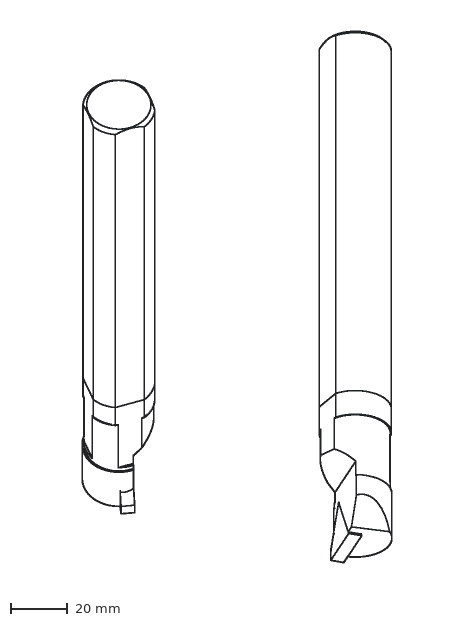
import cadquery as cq
import math

LENGTH = 203.2
SHANK_RADIUS = 12.8
SHANK_BOTTOM = 54.3
FLAT_DISTANCE = 11.5
FLAT_BOTTOM = 21.3
TOP_CHAMFER = 1.5

NECK_TOP = 44.5
NECK_RADIUS = 12.4
HEAD_TOP = 19.5
HEAD_RADIUS = 13.0
HEAD_BOTTOM = 1.0

RAKE_ANGLE = 13.0
TIP_X = 16.0
TIP_Y = 0.2
RAMP_BOTTOM = 25.5

RELIEF_X = -7.1
RELIEF_Z_SLOPE = -0.57
RELIEF_Y_SLOPE = 0.33

INSERT_EDGE = 22.0
INSERT_NOSE = 4.0
INSERT_THICKNESS = 4.9

OVERSIZE = 61.0


def cylinder(radius, bottom, top):
    return cq.Workplane("XY", origin=(0, 0, bottom)).circle(radius).extrude(top - bottom)


def flatted_zone(bottom, top):
    """Block bounded by the +X, +Y and -Y flats and open past the bar on -X."""
    depth = FLAT_DISTANCE + OVERSIZE
    block = cq.Workplane("XY").box(depth, 2 * FLAT_DISTANCE, top - bottom, centered=(False, True, False))
    return block.translate((-OVERSIZE, 0, bottom))


def rake_plane():
    """Local x runs inward from the tip, local y is up, and the normal points out of the rake face."""
    angle = math.radians(RAKE_ANGLE)
    return cq.Plane(
        origin=(TIP_X, TIP_Y, 0),
        xDir=(-math.cos(angle), math.sin(angle), 0),
        normal=(math.sin(angle), math.cos(angle), 0),
    )


def make_shank():
    shank = cylinder(SHANK_RADIUS, SHANK_BOTTOM, LENGTH).faces(">Z").chamfer(TOP_CHAMFER)
    return shank.intersect(flatted_zone(SHANK_BOTTOM, LENGTH))


def make_insert():
    slope = math.sqrt(3)
    corner_loss = INSERT_NOSE / slope
    inner_end = INSERT_EDGE - corner_loss
    apex_x = INSERT_EDGE / 2 - corner_loss
    apex_height = INSERT_EDGE / 2 * slope
    return (
        cq.Workplane(rake_plane())
        .polyline([(0, 0), (inner_end, 0), (apex_x, apex_height), (0, INSERT_NOSE)])
        .close()
        .extrude(-INSERT_THICKNESS)
    )


def chip_notch():
    """Everything in front of the rake plane, closed at the top by a 45-degree ramp."""
    tip = rake_plane()
    section = cq.Plane(origin=tip.origin, xDir=tip.zDir, normal=-tip.xDir)
    return (
        cq.Workplane(section)
        .polyline([
            (0, -OVERSIZE),
            (OVERSIZE, -OVERSIZE),
            (OVERSIZE, RAMP_BOTTOM + OVERSIZE),
            (0, RAMP_BOTTOM),
        ])
        .close()
        .extrude(OVERSIZE, both=True)
    )


def relief_block():
    """Block on the -X side of the sloping relief plane."""
    plane = cq.Plane(
        origin=(RELIEF_X, 0, 0),
        xDir=(RELIEF_Y_SLOPE, 1, 0),
        normal=(-1, RELIEF_Y_SLOPE, RELIEF_Z_SLOPE),
    )
    return cq.Workplane(plane).rect(2 * OVERSIZE, 2 * OVERSIZE).extrude(OVERSIZE)


def make_head(insert):
    collar = cylinder(SHANK_RADIUS, NECK_TOP, SHANK_BOTTOM)
    neck = cylinder(NECK_RADIUS, HEAD_TOP, NECK_TOP)
    flatted = collar.union(neck).intersect(flatted_zone(FLAT_BOTTOM, SHANK_BOTTOM))
    plain_neck = cylinder(NECK_RADIUS, HEAD_TOP, FLAT_BOTTOM)
    nose = cylinder(HEAD_RADIUS, HEAD_BOTTOM, HEAD_TOP)
    head = flatted.union(plain_neck).union(nose)
    return head.cut(chip_notch()).cut(relief_block()).cut(insert)


shank = make_shank()
insert = make_insert()
head = make_head(insert).solids()

result = cq.Compound.makeCompound([shank.val(), head.val(), insert.val()])